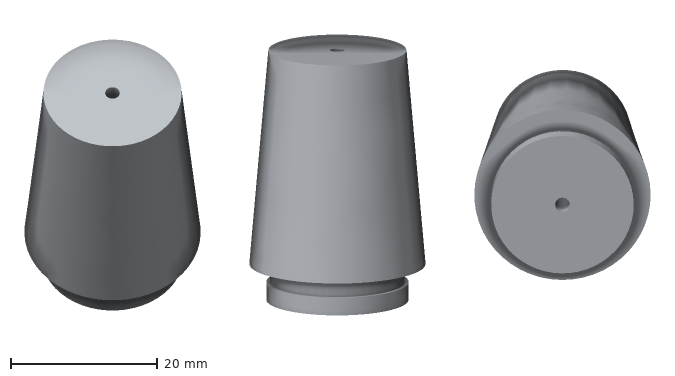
import cadquery as cq

total_height = 35.0
flange_height = 2.5
neck_height = 2.52
shoulder_z = flange_height + neck_height

flange_diameter = 19.5
neck_diameter = 18.4
body_base_diameter = 24.1
body_top_diameter = 18.9
bore_diameter = 2.0


def disc(diameter, height, base_z):
    """Upright cylinder on the Z axis, starting at base_z."""
    return cq.Workplane("XY").workplane(offset=base_z).circle(diameter / 2).extrude(height)


def tapered_body():
    """Cone that narrows from the shoulder to the flat top."""
    return (
        cq.Workplane("XZ")
        .moveTo(0, shoulder_z)
        .lineTo(body_base_diameter / 2, shoulder_z)
        .lineTo(body_top_diameter / 2, total_height)
        .lineTo(0, total_height)
        .close()
        .revolve(360, (0, 0, 0), (0, 1, 0))
    )


flange = disc(flange_diameter, flange_height, 0)
neck = disc(neck_diameter, neck_height, flange_height)
through_bore = disc(bore_diameter, total_height, 0)

result = flange.union(neck).union(tapered_body()).cut(through_bore)